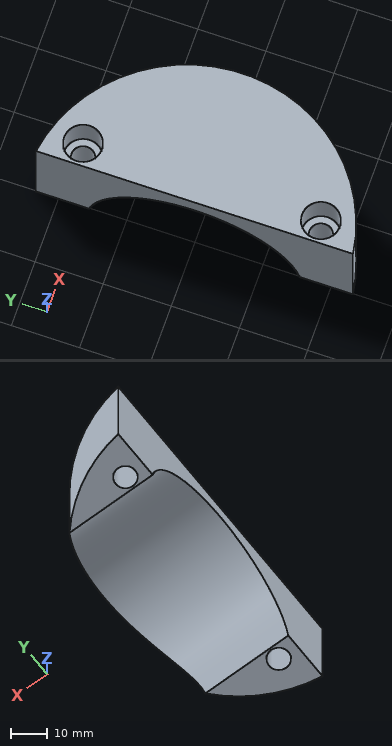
import cadquery as cq
import math

length = 93.1
width = 40.6
height = 31.8
outer_radius = (width**2 + (length / 2) ** 2) / (2 * width)
disc_center_x = width - outer_radius

arch_radius = 31.5
arch_top = 25.4
arch_center_z = arch_top - arch_radius

bolt_x = 6.4
bolt_spacing = 69.9
bolt_diameter = 6.8
counterbore_diameter = 11.1
counterbore_depth = 11.2

side_hole_diameter = 5.1
side_hole_z = 25.4
side_hole_angle = -45.0
side_hole_depth = 14.0


def make_block():
    return (
        cq.Workplane("XY")
        .moveTo(0, -length / 2)
        .threePointArc((width, 0), (0, length / 2))
        .close()
        .extrude(height)
    )


def make_arch():
    return cq.Workplane("YZ").center(0, arch_center_z).circle(arch_radius).extrude(width)


def make_side_hole():
    """Cylinder pointing from the curved wall towards the disc axis."""
    angle = math.radians(side_hole_angle)
    outward = cq.Vector(math.cos(angle), math.sin(angle), 0)
    inner_end = cq.Vector(disc_center_x, 0, side_hole_z) + outward * (outer_radius - side_hole_depth)
    cut_length = side_hole_depth + side_hole_diameter
    return cq.Solid.makeCylinder(side_hole_diameter / 2, cut_length, inner_end, outward)


result = (
    make_block()
    .cut(make_arch())
    .faces(">Z")
    .workplane(origin=(0, 0, height))
    .pushPoints([(bolt_x, -bolt_spacing / 2), (bolt_x, bolt_spacing / 2)])
    .cboreHole(bolt_diameter, counterbore_diameter, counterbore_depth)
    .cut(make_side_hole())
)